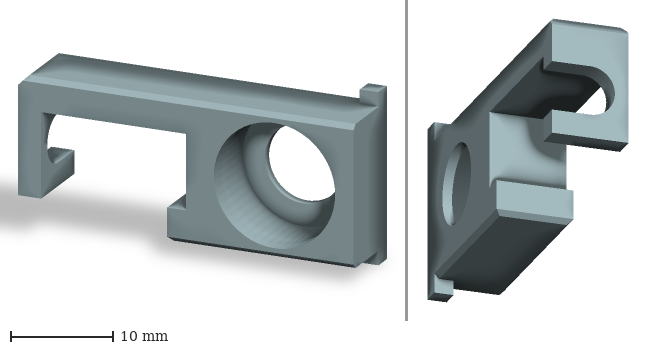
import cadquery as cq

length = 36.0
depth = 8.0
total_height = 18.0
lug_height = 1.5
height = total_height - 2 * lug_height
middle_z = height / 2

arm_thickness = 2.5
arm_bottom_z = 2.5
beam_bottom_z = 11.5
block_x = 18.0
foot_x = 16.0
foot_top_z = 3.53

edge_chamfer = 0.5
end_chamfer = 1.0

bore_x = 27.5
bore_radius = 4.15
counterbore_radius = 6.5
counterbore_depth = 7.0

lug_size = 2.0
notch_radius = 2.55
notch_depth = 6.55


def box(x0, x1, y0, y1, z0, z1):
    """Box spanning the given coordinate ranges."""
    return cq.Workplane("XY").box(x1 - x0, y1 - y0, z1 - z0, centered=False).translate((x0, y0, z0))


def make_body():
    """Hook profile extruded through the depth, with its outer edges chamfered."""
    profile = [
        (0, arm_bottom_z),
        (arm_thickness, arm_bottom_z),
        (arm_thickness, beam_bottom_z),
        (block_x, beam_bottom_z),
        (block_x, foot_top_z),
        (foot_x, foot_top_z),
        (foot_x, edge_chamfer),
        (foot_x + edge_chamfer, 0),
        (length, 0),
        (length, height),
        (end_chamfer, height),
        (0, height - end_chamfer),
    ]
    body = cq.Workplane("XZ").polyline(profile).close().extrude(-depth)
    section = (
        cq.Workplane("YZ")
        .rect(depth, height)
        .extrude(length)
        .edges("|X")
        .chamfer(edge_chamfer)
        .translate((0, depth / 2, middle_z))
    )
    return body.intersect(section)


def bore_cutter(radius, cut_depth):
    """Cylinder running from the front face towards +Y."""
    return cq.Workplane("XZ").center(bore_x, middle_z).circle(radius).extrude(-cut_depth)


def notch_cutter():
    """Round-ended notch through the arm, open at the back face."""
    centre_y = depth - notch_depth + notch_radius
    round_end = cq.Workplane("YZ").center(centre_y, middle_z).circle(notch_radius).extrude(arm_thickness)
    straight = box(0, arm_thickness, centre_y, depth, middle_z - notch_radius, middle_z + notch_radius)
    return round_end.union(straight)


result = make_body()
result = result.cut(bore_cutter(counterbore_radius, counterbore_depth))
result = result.cut(bore_cutter(bore_radius, depth))
result = result.cut(notch_cutter())

for lug_start, lug_end in [(-lug_height, edge_chamfer), (height - edge_chamfer, height + lug_height)]:
    result = result.union(box(length - lug_size, length, depth - lug_size, depth, lug_start, lug_end))